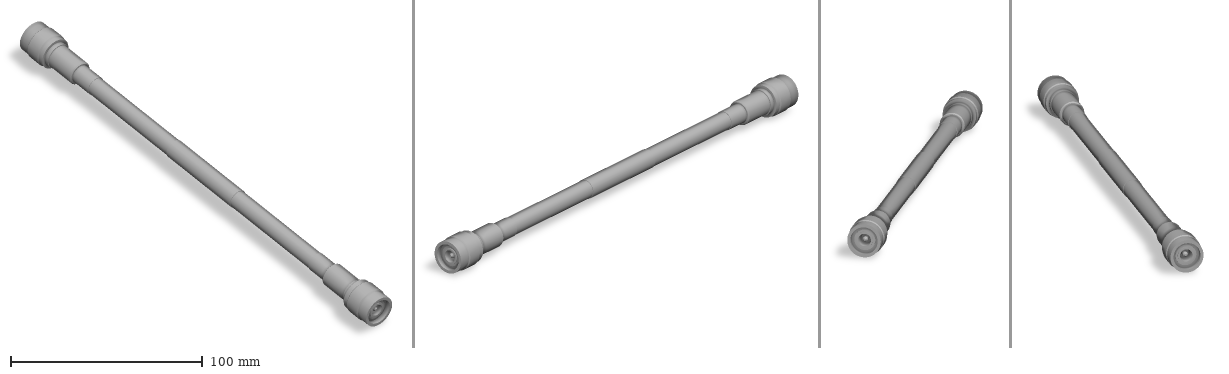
import cadquery as cq

total_length = 278.5

cable_radius = 5.0
label_radius = 5.3
label_length = 51.2

nut_length = 18.0
nut_radius = 9.0
nut_bore_radius = 7.2
nut_bore_depth = 2.8
grip_radius = 9.5
grip_start = 6.5
grip_end = 15.3
grip_chamfer = grip_radius - nut_radius

shell_radius = 5.5
shell_start = 2.2
contact_radius = 4.5
contact_start = 1.7
flange_radius = 7.2
flange_end = 20.5
neck_radius = 5.8
barrel_radius = 6.5
barrel_start = 22.0
barrel_end = 35.5

mouth_radius = 3.3
throat_radius = 2.8
throat_start = 5.8
socket_floor = 7.2
pin_radius = 1.5
pin_start = 2.2
pin_tip_radius = 0.5
pin_tip_length = 1.0

sleeve_radius = 6.7
shoulder_end = 38.0
shoulder_chamfer = 0.5
sleeve_tail_radius = label_radius
sleeve_end = 50.7


def revolve_about_x(profile):
    """Solid of revolution about the X axis from (x, radius) points."""
    return cq.Workplane("XY").polyline(profile).close().revolve(360, (0, 0, 0), (1, 0, 0))


def make_cable():
    """Plain round cable between the ends of the two barrels."""
    return cq.Workplane("YZ", origin=(barrel_end, 0, 0)).circle(cable_radius).extrude(
        total_length - 2 * barrel_end
    )


def make_label():
    """Thin tube around the middle of the cable."""
    label_start = (total_length - label_length) / 2
    return (
        cq.Workplane("YZ", origin=(label_start, 0, 0))
        .circle(label_radius)
        .circle(cable_radius)
        .extrude(label_length)
    )


def make_nut():
    """Coupling nut of the left plug, bored out at its open face and fitted over the shell."""
    return revolve_about_x([
        (0, nut_bore_radius),
        (0, nut_radius),
        (grip_start, nut_radius),
        (grip_start + grip_chamfer, grip_radius),
        (grip_end - grip_chamfer, grip_radius),
        (grip_end, nut_radius),
        (nut_length, nut_radius),
        (nut_length, shell_radius),
        (nut_bore_depth, shell_radius),
        (nut_bore_depth, nut_bore_radius),
    ])


def make_connector():
    """Connector body of the left plug, with its pin, from the pin tip back to the barrel."""
    pin_and_socket = [
        (pin_start, 0),
        (pin_start, pin_tip_radius),
        (pin_start + pin_tip_length, pin_radius),
        (socket_floor, pin_radius),
        (socket_floor, throat_radius),
        (throat_start, throat_radius),
        (contact_start, mouth_radius),
    ]
    outside = [
        (contact_start, contact_radius),
        (shell_start, contact_radius),
        (shell_start, shell_radius),
        (nut_length, shell_radius),
        (nut_length, flange_radius),
        (flange_end, flange_radius),
        (flange_end, neck_radius),
        (barrel_start, neck_radius),
        (barrel_start, barrel_radius),
        (barrel_end, barrel_radius),
        (barrel_end, 0),
    ]
    return revolve_about_x(pin_and_socket + outside)


def make_sleeve():
    """Strain relief of the left plug, fitted closely over the neck, barrel and cable."""
    return revolve_about_x([
        (flange_end, neck_radius),
        (flange_end, sleeve_radius),
        (shoulder_end - shoulder_chamfer, sleeve_radius),
        (shoulder_end, sleeve_radius - shoulder_chamfer),
        (shoulder_end, sleeve_tail_radius),
        (sleeve_end, sleeve_tail_radius),
        (sleeve_end, cable_radius),
        (barrel_end, cable_radius),
        (barrel_end, barrel_radius),
        (barrel_start, barrel_radius),
        (barrel_start, neck_radius),
    ])


cable = make_cable()
label = make_label()
bodies = [cable.val(), label.val()]

for make_plug_body in (make_nut, make_connector, make_sleeve):
    left_body = make_plug_body()
    right_body = left_body.mirror("YZ", (total_length / 2, 0, 0))
    bodies += [left_body.val(), right_body.val()]

result = cq.Compound.makeCompound(bodies)